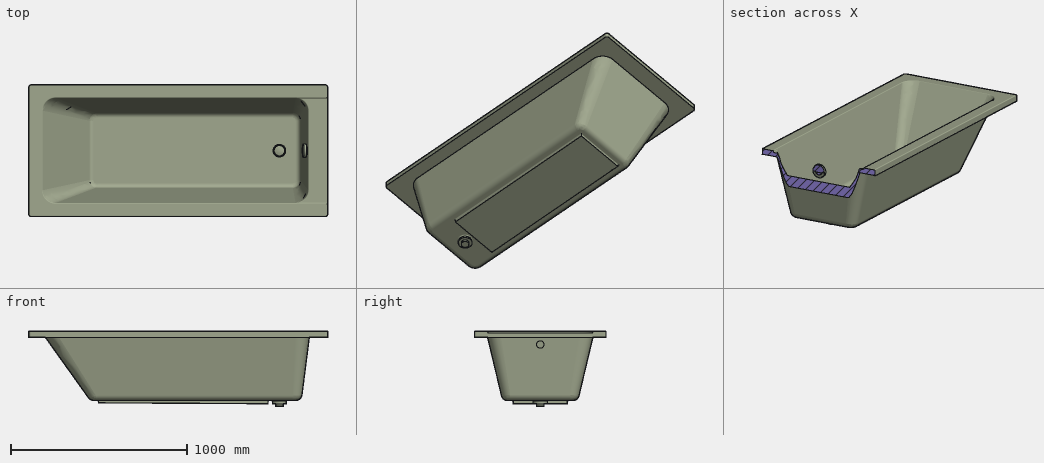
import cadquery as cq
import math

RIM_LENGTH = 1700.0
RIM_WIDTH = 750.0
RIM_THICKNESS = 35.0
RIM_CORNER_RADIUS = 15.0
EDGE_FILLET = 5.0

WALL_THICKNESS = 8.0
FLOOR_DEPTH = 386.0
OPENING_HEAD_X = -770.0
OPENING_FOOT_X = 741.0
OPENING_HALF_WIDTH = 300.0
OPENING_CORNER_RADIUS = 73.0
FLOOR_HEAD_X = -495.0
FLOOR_FOOT_X = 692.0
FLOOR_HALF_WIDTH = 207.0
FLOOR_CORNER_RADIUS = 40.0
FLOOR_FILLET = 27.0
HEAD_SLOPE = (FLOOR_HEAD_X - OPENING_HEAD_X) / FLOOR_DEPTH
FOOT_SLOPE = (OPENING_FOOT_X - FLOOR_FOOT_X) / FLOOR_DEPTH
SIDE_SLOPE = (OPENING_HALF_WIDTH - FLOOR_HALF_WIDTH) / FLOOR_DEPTH
UNDERSIDE_Z = -FLOOR_DEPTH - WALL_THICKNESS

LEDGE_START_X = 653.0
LEDGE_HALF_WIDTH = 298.0
LEDGE_DROP = 10.0

PAD_HEAD_X = -454.0
PAD_FOOT_X = 510.0
PAD_WIDTH = 310.0
PAD_HEAD_HEIGHT = 14.0
PAD_FOOT_HEIGHT = 19.0
PAD_FILLET = 5.0

DRAIN_X = 575.0
DRAIN_PAD_DIAMETER = 80.0
DRAIN_FLANGE_DIAMETER = 71.0
DRAIN_FLANGE_THICKNESS = 10.0
DRAIN_PIPE_DIAMETER = 45.0
DRAIN_BOTTOM_Z = -427.0
PLUG_DIAMETER = 60.0
PLUG_THICKNESS = 5.0
PLUG_DOME_HEIGHT = 5.0

OVERFLOW_Z = -75.0
OVERFLOW_STEM_DIAMETER = 42.0
OVERFLOW_GAP = 7.0
OVERFLOW_CAP_DIAMETER = 78.0
OVERFLOW_CAP_THICKNESS = 15.0
OVERFLOW_DOME_HEIGHT = 5.0


def basin_section(z, offset, radius):
    """Rounded rectangle of the basin at height z, with its walls moved outward by offset."""
    head_x = OPENING_HEAD_X - HEAD_SLOPE * z - offset * math.hypot(1, HEAD_SLOPE)
    foot_x = OPENING_FOOT_X + FOOT_SLOPE * z + offset * math.hypot(1, FOOT_SLOPE)
    half_width = OPENING_HALF_WIDTH + SIDE_SLOPE * z + offset * math.hypot(1, SIDE_SLOPE)
    sketch = cq.Sketch().rect(foot_x - head_x, 2 * half_width).vertices().fillet(radius)
    return sketch.moved(cq.Location(cq.Vector((head_x + foot_x) / 2, 0, z))).val()


def wall_face(upper_edge, lower_edge):
    """Flat wall between two straight edges, or cone-like corner between two arcs."""
    if upper_edge.geomType() == "LINE":
        corners = [
            upper_edge.startPoint(),
            upper_edge.endPoint(),
            lower_edge.endPoint(),
            lower_edge.startPoint(),
        ]
        return cq.Face.makeFromWires(cq.Wire.makePolygon(corners, close=True))
    return cq.Face.makeRuledSurface(upper_edge, lower_edge)


def basin_solid(offset):
    """Solid filling the basin cavity, enlarged by offset on its walls and floor."""
    opening = basin_section(0, offset, OPENING_CORNER_RADIUS + offset)
    floor = basin_section(-FLOOR_DEPTH - offset, offset, FLOOR_CORNER_RADIUS + offset)
    walls = [wall_face(upper, lower) for upper, lower in zip(opening.Edges(), floor.Edges())]
    shell = cq.Shell.makeShell([opening, floor, *walls])
    basin = cq.Workplane(cq.Solid.makeSolid(shell).fix())
    return basin.faces("<Z").edges().fillet(FLOOR_FILLET + offset)


def rim_plate():
    rim = cq.Workplane("XY").box(RIM_LENGTH, RIM_WIDTH, RIM_THICKNESS, centered=(True, True, False))
    rim = rim.translate((0, 0, -RIM_THICKNESS)).edges("|Z").fillet(RIM_CORNER_RADIUS)
    return rim.faces(">Z").edges().fillet(EDGE_FILLET)


def ledge_cutter():
    """Channel open at the foot end, its sides S-curved from the ledge up to the rim."""
    r = LEDGE_DROP / 2
    profile = (
        cq.Workplane("YZ", origin=(LEDGE_START_X, 0, 0))
        .moveTo(LEDGE_HALF_WIDTH - r, -LEDGE_DROP)
        .radiusArc((LEDGE_HALF_WIDTH, -r), -r)
        .radiusArc((LEDGE_HALF_WIDTH + r, 0), r)
        .lineTo(-LEDGE_HALF_WIDTH - r, 0)
        .radiusArc((-LEDGE_HALF_WIDTH, -r), r)
        .radiusArc((r - LEDGE_HALF_WIDTH, -LEDGE_DROP), -r)
        .close()
    )
    return profile.extrude(RIM_LENGTH / 2 - LEDGE_START_X)


def opening_edges_at(z):
    """Selector of the edges around the basin opening that lie at height z."""
    margin = EDGE_FILLET / 2
    return cq.selectors.BoxSelector(
        (OPENING_HEAD_X - margin, -OPENING_HALF_WIDTH - margin, z - margin),
        (OPENING_FOOT_X + margin, OPENING_HALF_WIDTH + margin, z + margin),
        boundingbox=True,
    )


def floor_pad():
    side = [
        (PAD_HEAD_X, UNDERSIDE_Z),
        (PAD_FOOT_X, UNDERSIDE_Z),
        (PAD_FOOT_X, UNDERSIDE_Z - PAD_FOOT_HEIGHT),
        (PAD_HEAD_X, UNDERSIDE_Z - PAD_HEAD_HEIGHT),
    ]
    return cq.Workplane("XZ").polyline(side).close().extrude(PAD_WIDTH / 2, both=True)


def pad_root_edges():
    """Selector of the edges where the floor pad and the drain pad meet the underside."""
    margin = PAD_FILLET / 2
    return cq.selectors.BoxSelector(
        (PAD_HEAD_X - margin, -PAD_WIDTH / 2 - margin, UNDERSIDE_Z - margin),
        (DRAIN_X + DRAIN_PAD_DIAMETER, PAD_WIDTH / 2 + margin, UNDERSIDE_Z + margin),
        boundingbox=True,
    )


def upright_cylinder(diameter, top_z, height):
    """Cylinder on the drain axis, hanging down from top_z."""
    return cq.Workplane("XY", origin=(DRAIN_X, 0, top_z)).circle(diameter / 2).extrude(-height)


def domed_disc(diameter, thickness, dome_height):
    """Disc standing on the origin with its axis along Z and a domed upper face."""
    radius = diameter / 2
    dome_radius = (radius**2 + dome_height**2) / (2 * dome_height)
    half_profile = (
        cq.Workplane("XZ")
        .lineTo(radius, 0)
        .lineTo(radius, thickness)
        .radiusArc((0, thickness + dome_height), -dome_radius)
        .close()
    )
    return half_profile.revolve(360, (0, 0), (0, 1))


def overflow_plane():
    """Plane on the inner face of the foot wall, its normal pointing into the basin."""
    wall_x = OPENING_FOOT_X + FOOT_SLOPE * OVERFLOW_Z
    return cq.Plane(origin=(wall_x, 0, OVERFLOW_Z), xDir=(0, 1, 0), normal=(-1, 0, FOOT_SLOPE))


def make_drain_fitting():
    """Flanged pipe with the top of its flange flush with the floor."""
    floor_z = -FLOOR_DEPTH
    flange = upright_cylinder(DRAIN_FLANGE_DIAMETER, floor_z, DRAIN_FLANGE_THICKNESS)
    return flange.union(upright_cylinder(DRAIN_PIPE_DIAMETER, floor_z, floor_z - DRAIN_BOTTOM_Z))


def make_drain_plug():
    plug = domed_disc(PLUG_DIAMETER, PLUG_THICKNESS, PLUG_DOME_HEIGHT)
    return plug.translate((DRAIN_X, 0, -FLOOR_DEPTH - PLUG_THICKNESS))


def make_overflow_stem():
    """Round stem that fills the hole in the foot wall and holds the cap off the wall."""
    stem = cq.Workplane(overflow_plane()).workplane(offset=-WALL_THICKNESS)
    return stem.circle(OVERFLOW_STEM_DIAMETER / 2).extrude(WALL_THICKNESS + OVERFLOW_GAP)


def make_overflow_cap():
    cap = domed_disc(OVERFLOW_CAP_DIAMETER, OVERFLOW_CAP_THICKNESS, OVERFLOW_DOME_HEIGHT)
    return cap.translate((0, 0, OVERFLOW_GAP)).val().moved(cq.Location(overflow_plane()))


def make_tub(openings):
    """Rim and thin-walled basin in one piece, cut to receive the fittings in openings."""
    drain_pad = upright_cylinder(DRAIN_PAD_DIAMETER, UNDERSIDE_Z, PAD_FOOT_HEIGHT)
    tub = basin_solid(WALL_THICKNESS).union(floor_pad()).union(drain_pad)
    tub = tub.edges(pad_root_edges()).fillet(PAD_FILLET)
    tub = tub.union(rim_plate()).cut(basin_solid(0))
    tub = tub.edges(opening_edges_at(0)).fillet(EDGE_FILLET)
    tub = tub.cut(ledge_cutter())
    tub = tub.edges(opening_edges_at(-LEDGE_DROP)).fillet(EDGE_FILLET)
    for opening in openings:
        tub = tub.cut(opening)
    return tub


drain_plug = make_drain_plug()
drain_fitting = make_drain_fitting()
overflow_stem = make_overflow_stem()
overflow_cap = make_overflow_cap()
tub = make_tub([drain_fitting, overflow_stem])

drain_fitting = drain_fitting.cut(drain_plug)

result = cq.Compound.makeCompound(
    [tub.val(), drain_fitting.val(), drain_plug.val(), overflow_stem.val(), overflow_cap]
)